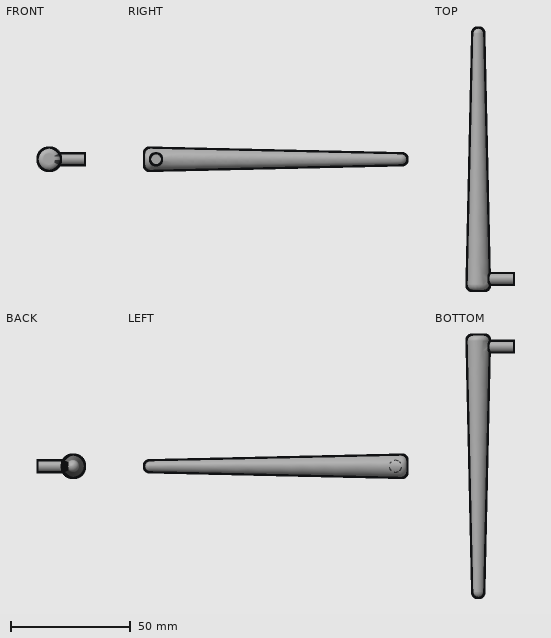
import cadquery as cq

length = 110.0
thick_radius = 5.0
thin_radius = 2.5
thick_end_fillet = 2.5
thin_end_fillet = 2.4

pin_radius = 2.5
pin_reach = 15.0
pin_offset = 2 * pin_radius


def tapered_handle():
    """Round bar tapering from the thick end to the thin end, with rounded ends."""
    half_profile = [(0, 0), (thick_radius, 0), (thin_radius, length), (0, length)]
    bar = cq.Workplane("XY").polyline(half_profile).close().revolve(360, (0, 0, 0), (0, 1, 0))
    bar = bar.faces("<Y").edges().fillet(thick_end_fillet)
    return bar.faces(">Y").edges().fillet(thin_end_fillet)


def side_pin():
    """Plain pin starting on the handle axis."""
    return cq.Workplane("YZ").center(pin_offset, 0).circle(pin_radius).extrude(pin_reach)


result = tapered_handle().union(side_pin())